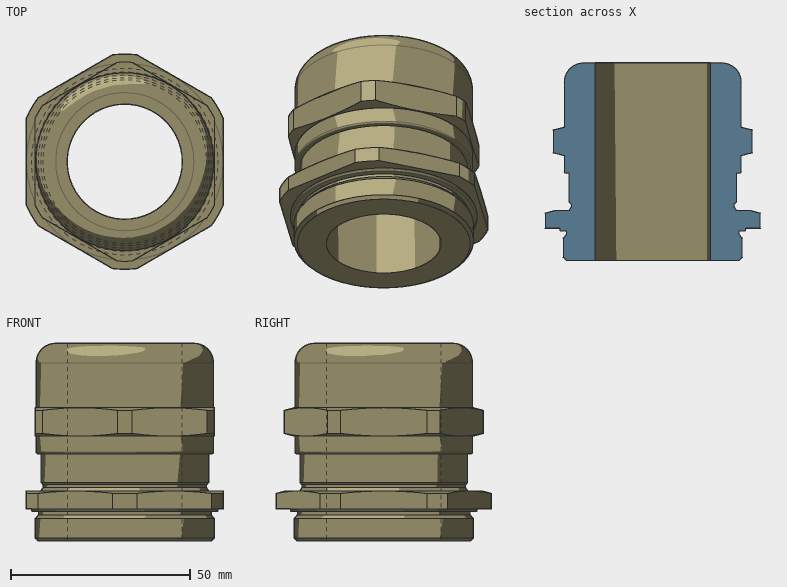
import cadquery as cq
import math

total_height = 55.15
bore_radius = 16.0

thread_radius = 25.0
thread_top = 6.25
thread_tip_chamfer = 0.9
undercut_radius = 24.1
undercut_bottom = 7.35

collar_radius = 26.0
collar_bottom = 8.2
collar_edge_radius = 0.5

lower_hex_flats = 55.0
lower_hex_corner_radius = 30.0
lower_hex_bottom = 9.0
lower_hex_top = 14.0

neck_radius = 23.4
neck_foot = 16.35
relief_radius = 22.8
relief_chamfer = neck_radius - relief_radius
relief_flare_height = 0.9

cap_radius = 24.75
cap_bottom = 24.3
cap_lower_edge_radius = 0.6
dome_edge_radius = 5.5

upper_hex_flats = 50.0
upper_hex_corner_radius = 27.75
upper_hex_bottom = 29.25
upper_hex_top = 37.2

hex_chamfer_angle = math.radians(15)
hex_chamfer_inset = 0.1


def arc_midpoint(center_radius, center_height, edge_radius, angle):
    """Point on a rounded edge of the profile, at an angle in degrees about its centre."""
    turn = math.radians(angle)
    return (
        center_radius + edge_radius * math.cos(turn),
        center_height + edge_radius * math.sin(turn),
    )


def revolve_profile(profile):
    """Revolve a closed (radius, height) profile about the Z axis."""
    return profile.close().revolve(360, (0, 0, 0), (0, 1, 0))


def make_entry():
    """Threaded end with a tip chamfer, an undercut and the rounded sealing collar."""
    collar_corner = collar_radius - collar_edge_radius
    collar_corner_height = collar_bottom + collar_edge_radius
    profile = (
        cq.Workplane("XZ")
        .lineTo(thread_radius - thread_tip_chamfer, 0)
        .lineTo(thread_radius, thread_tip_chamfer)
        .lineTo(thread_radius, thread_top)
        .lineTo(undercut_radius, undercut_bottom)
        .lineTo(undercut_radius, collar_bottom)
        .lineTo(collar_corner, collar_bottom)
        .threePointArc(
            arc_midpoint(collar_corner, collar_corner_height, collar_edge_radius, -45),
            (collar_radius, collar_corner_height),
        )
        .lineTo(collar_radius, lower_hex_bottom)
        .lineTo(0, lower_hex_bottom)
    )
    return revolve_profile(profile)


def make_neck():
    """Neck with a chamfered relief groove above the lower hexagon."""
    profile = (
        cq.Workplane("XZ")
        .moveTo(0, lower_hex_top)
        .lineTo(neck_radius, lower_hex_top)
        .lineTo(relief_radius, lower_hex_top + relief_flare_height)
        .lineTo(relief_radius, neck_foot - relief_chamfer)
        .lineTo(neck_radius, neck_foot)
        .lineTo(neck_radius, cap_bottom)
        .lineTo(0, cap_bottom)
    )
    return revolve_profile(profile)


def make_cap():
    """Cap cylinder with a large rounding at the top and a small one at the bottom."""
    cap = (
        cq.Workplane("XY")
        .workplane(offset=cap_bottom)
        .circle(cap_radius)
        .extrude(total_height - cap_bottom)
    )
    cap = cap.faces(">Z").edges().fillet(dome_edge_radius)
    return cap.faces("<Z").edges().fillet(cap_lower_edge_radius)


def make_hexagon(flats, corner_radius, bottom, top, chamfer_bottom):
    """Hexagon with flats facing +X and -X, its corners turned round and chamfered."""
    across_corners = flats / math.cos(math.pi / 6)
    prism = (
        cq.Workplane("XY")
        .workplane(offset=bottom)
        .transformed(rotate=(0, 0, 30))
        .polygon(6, across_corners)
        .extrude(top - bottom)
    )
    chamfer_radius = flats / 2 - hex_chamfer_inset
    chamfer_height = (corner_radius - chamfer_radius) * math.tan(hex_chamfer_angle)
    envelope = cq.Workplane("XZ").moveTo(0, bottom)
    if chamfer_bottom:
        envelope = envelope.lineTo(chamfer_radius, bottom).lineTo(corner_radius, bottom + chamfer_height)
    else:
        envelope = envelope.lineTo(corner_radius, bottom)
    envelope = (
        envelope.lineTo(corner_radius, top - chamfer_height)
        .lineTo(chamfer_radius, top)
        .lineTo(0, top)
    )
    return prism.intersect(revolve_profile(envelope))


lower_hexagon = make_hexagon(
    lower_hex_flats, lower_hex_corner_radius, lower_hex_bottom, lower_hex_top, chamfer_bottom=False
)
upper_hexagon = make_hexagon(
    upper_hex_flats, upper_hex_corner_radius, upper_hex_bottom, upper_hex_top, chamfer_bottom=True
)
bore = cq.Workplane("XY").circle(bore_radius).extrude(total_height)

body = make_entry().union(lower_hexagon).union(make_neck()).union(make_cap()).union(upper_hexagon)
result = body.cut(bore)